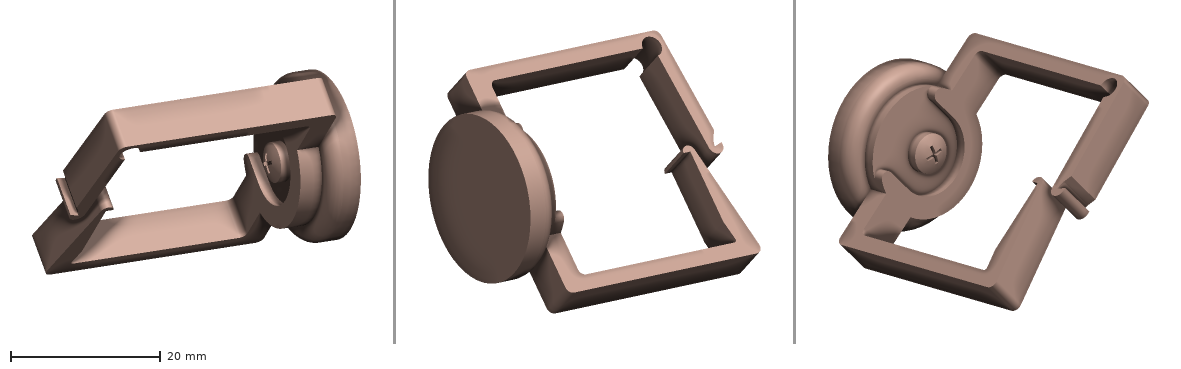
import cadquery as cq
import math

TILT = 47.0

POT_RADIUS = 11.55
POT_HEIGHT = 4.55
POT_EDGE_RADIUS = 1.95

CLIP_LENGTH = 34.7
CLIP_WIDTH = 5.8
WALL = 2.23
BASE = 3.2
OUTER_FILLET = 1.0
INNER_FILLET = 0.92
HALF = CLIP_LENGTH / 2
INNER_HALF = HALF - WALL

FIXED_INNER = 28.5
FIXED_SLOPE = 11.1
BARB_RADIUS = 0.95
BARB_CENTER = (-0.92, 28.35)
ROOT_START = -11.83
ROOT_DEPTH = 29.2
ROOT_FILLET = 0.4

FLEX_CORNER = 32.25
FLEX_SLOPE = 4.8
FLEX_INNER = 30.3
HINGE_RADIUS = 1.5
HINGE_DEPTH = 30.15
TIP_RADIUS = 1.15
TIP_CENTER = (-0.9, 32.73)
LATCH_MOUTH = 1.4
LATCH_BEND = (0.3, 32.9)
LATCH_ARC = (-0.45, 32.65)
LATCH_ROOT = (-0.92, 32.57)
LATCH_LIP = -0.5

SEAT_RADIUS = 8.95
POCKET_RADIUS = 5.85
POCKET_FLOOR = 1.6
POCKET_MOUTH_FILLET = 0.95

HEAD_RADIUS = 2.75
HEAD_HEIGHT = 1.5
DOME_HEIGHT = 0.85
SHANK_RADIUS = 1.5
SHANK_IN_POT = 3.0
CROSS_SPAN = 2.7
CROSS_WIDTH = 0.5
CROSS_DEPTH = 0.8
CROSS_ANGLE = 22.0 - TILT


def disc(radius, near, far):
    """Cylinder about the Y axis from Y = -near to Y = -far."""
    return cq.Workplane("XZ", origin=(0, -near, 0)).circle(radius).extrude(far - near)


def plate(outline):
    """Clip-wide plate from a closed outline in the XY plane."""
    return outline.close().extrude(CLIP_WIDTH / 2, both=True)


def fillet_at(body, radius, point):
    """Round the one edge whose middle lies nearest to the point."""
    return body.edges(cq.selectors.NearestToPointSelector(point)).fillet(radius)


def on_circle(center, radius, angle):
    """Point on a circle; the angle is counted from +X towards -Y."""
    a = math.radians(angle)
    return center[0] + radius * math.cos(a), -(center[1] + radius * math.sin(a))


def make_pot():
    pot = disc(POT_RADIUS, -POT_HEIGHT, 0).faces("<Y").edges().fillet(POT_EDGE_RADIUS)
    return pot.cut(disc(SHANK_RADIUS, -SHANK_IN_POT, 0))


def make_base():
    """Base bar with the two side walls."""
    frame = plate(
        cq.Workplane("XY")
        .moveTo(-HALF, -FIXED_INNER)
        .lineTo(-HALF, 0)
        .lineTo(HALF, 0)
        .lineTo(HALF, -FIXED_INNER)
        .lineTo(INNER_HALF, -FIXED_INNER)
        .lineTo(INNER_HALF, -BASE)
        .lineTo(-INNER_HALF, -BASE)
        .lineTo(-INNER_HALF, -FIXED_INNER)
    )
    for side in (-1, 1):
        frame = fillet_at(frame, OUTER_FILLET, (side * HALF, 0, 0))
        frame = fillet_at(frame, INNER_FILLET, (side * INNER_HALF, -BASE, 0))
    return frame


def make_fixed_arm():
    tangent = on_circle(BARB_CENTER, BARB_RADIUS, 90 - FIXED_SLOPE)
    rise = (tangent[0] + HALF) * math.tan(math.radians(FIXED_SLOPE))
    arm = plate(
        cq.Workplane("XY")
        .moveTo(-HALF, -FIXED_INNER)
        .lineTo(-HALF, tangent[1] - rise)
        .lineTo(*tangent)
        .threePointArc(
            on_circle(BARB_CENTER, BARB_RADIUS, 0), on_circle(BARB_CENTER, BARB_RADIUS, -90)
        )
        .lineTo(BARB_CENTER[0], -FIXED_INNER)
        .lineTo(ROOT_START, -FIXED_INNER)
        .lineTo(-INNER_HALF, -ROOT_DEPTH)
        .lineTo(-INNER_HALF, -FIXED_INNER)
    )
    arm = fillet_at(arm, ROOT_FILLET, (-INNER_HALF, -ROOT_DEPTH, 0))
    return fillet_at(arm, OUTER_FILLET, (-HALF, tangent[1] - rise, 0))


def make_flex_arm():
    slope = math.tan(math.radians(FLEX_SLOPE))
    mouth = (LATCH_MOUTH, -(FLEX_CORNER + (HALF - LATCH_MOUTH) * slope))
    arm = plate(
        cq.Workplane("XY")
        .moveTo(INNER_HALF, -FIXED_INNER)
        .lineTo(HALF, -FIXED_INNER)
        .lineTo(HALF, -FLEX_CORNER)
        .lineTo(*mouth)
        .lineTo(LATCH_BEND[0], -LATCH_BEND[1])
        .threePointArc((LATCH_ARC[0], -LATCH_ARC[1]), (LATCH_ROOT[0], -LATCH_ROOT[1]))
        .lineTo(LATCH_LIP, -(TIP_CENTER[1] + TIP_RADIUS))
        .lineTo(*on_circle(TIP_CENTER, TIP_RADIUS, 90))
        .threePointArc(
            on_circle(TIP_CENTER, TIP_RADIUS, 180),
            on_circle(TIP_CENTER, TIP_RADIUS, 270 - FLEX_SLOPE),
        )
        .lineTo(INNER_HALF, -FLEX_INNER)
    )
    return fillet_at(arm, OUTER_FILLET, (HALF, -FLEX_CORNER, 0))


def make_clip():
    seat = disc(SEAT_RADIUS, 0, BASE)
    clip = make_base().union(make_fixed_arm()).union(make_flex_arm()).union(seat)
    hinge = cq.Workplane("XY").center(INNER_HALF, -HINGE_DEPTH).circle(HINGE_RADIUS)
    clip = clip.cut(hinge.extrude(CLIP_WIDTH / 2, both=True))
    channel = cq.Workplane("XY").box(2 * POCKET_RADIUS, BASE - POCKET_FLOOR, SEAT_RADIUS)
    channel = channel.translate((0, -(BASE + POCKET_FLOOR) / 2, SEAT_RADIUS / 2))
    clip = clip.cut(disc(POCKET_RADIUS, POCKET_FLOOR, BASE).union(channel))
    mouth_z = math.sqrt(SEAT_RADIUS**2 - POCKET_RADIUS**2)
    middle_y = -(BASE + POCKET_FLOOR) / 2
    for side in (-1, 1):
        clip = fillet_at(clip, POCKET_MOUTH_FILLET, (side * POCKET_RADIUS, middle_y, mouth_z))
    return clip.cut(disc(SHANK_RADIUS, 0, POCKET_FLOOR))


def make_screw():
    rim = POCKET_FLOOR + HEAD_HEIGHT
    top = rim + DOME_HEIGHT
    dome_radius = (HEAD_RADIUS**2 + DOME_HEIGHT**2) / (2 * DOME_HEIGHT)
    dome = cq.Workplane("XY").sphere(dome_radius).translate((0, dome_radius - top, 0))
    head = disc(HEAD_RADIUS, POCKET_FLOOR, top).intersect(dome)
    screw = head.union(disc(SHANK_RADIUS, -SHANK_IN_POT, POCKET_FLOOR))
    for turn in (0, 90):
        slot = cq.Workplane("XY").box(CROSS_SPAN, 2 * CROSS_DEPTH, CROSS_WIDTH)
        slot = slot.translate((0, -top, 0)).rotate((0, 0, 0), (0, 1, 0), -CROSS_ANGLE - turn)
        screw = screw.cut(slot)
    return screw


def tilted(body):
    """The single solid of a body, turned to its final angle."""
    return body.rotate((0, 0, 0), (0, 1, 0), -TILT).solids().val()


pot = tilted(make_pot())
clip = tilted(make_clip())
screw = tilted(make_screw())

result = cq.Compound.makeCompound([pot, clip, screw])